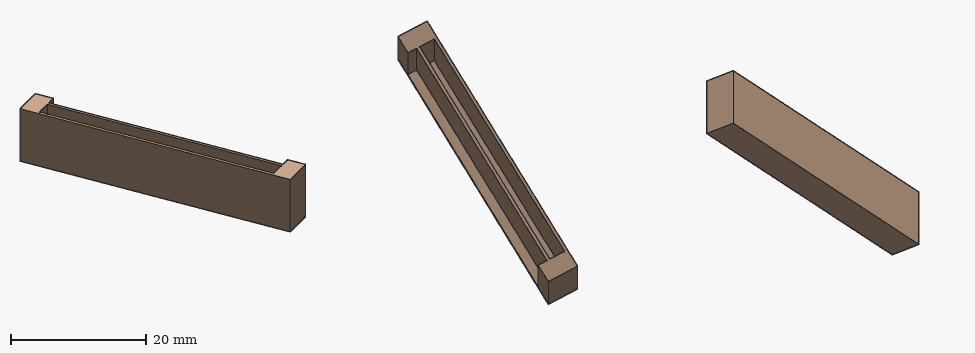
import cadquery as cq

length = 45.0
depth = 5.0
height = 9.0

end_block = 3.0
wall = 0.5
back_recess = 1.5
floor = 0.5

span = length - 2 * end_block
pocket_width = depth - 2 * wall - back_recess
cavity_depth = height - floor


def cavity(front, width):
    """Box between the end blocks, open at the top and starting at Y = front."""
    return (
        cq.Workplane("XY")
        .box(span, width, cavity_depth, centered=(True, False, False))
        .translate((0, front, floor))
    )


block = cq.Workplane("XY").box(length, depth, height, centered=(True, False, False))

pocket = cavity(wall, pocket_width)

recess = cavity(depth - back_recess, back_recess)

result = block.cut(pocket).cut(recess)